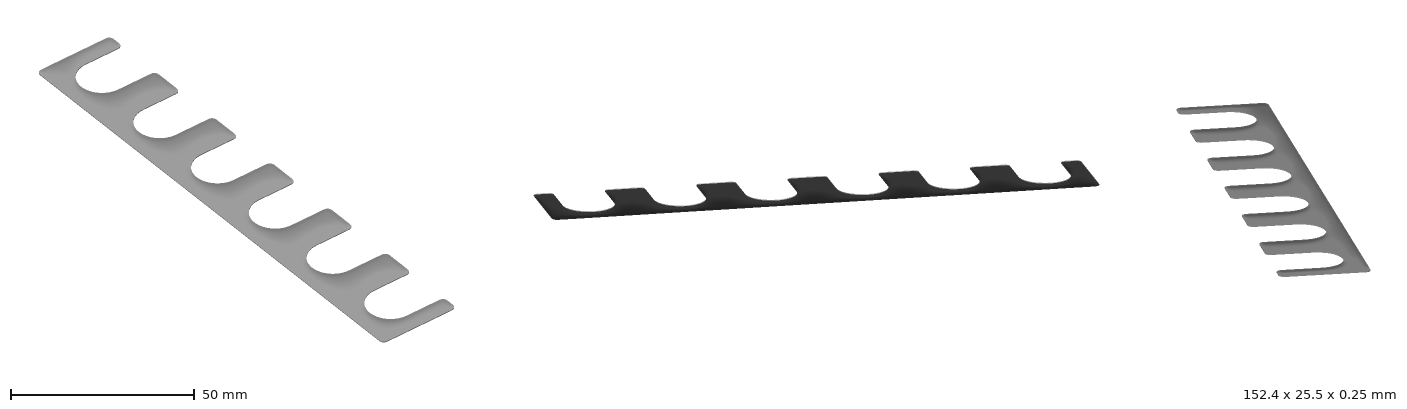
import cadquery as cq

length = 152.4
depth = 25.5
thickness = 0.25
slot_count = 6
slot_width = 14.3
slot_floor = 5.5
corner_radius = 1.5

pitch = length / slot_count
slot_radius = slot_width / 2
slot_center_y = slot_floor + slot_radius


def slot_cutter(center_x):
    """Round-bottomed slot that opens through the +Y edge."""
    return (
        cq.Workplane("XY")
        .moveTo(center_x - slot_radius, depth)
        .lineTo(center_x - slot_radius, slot_center_y)
        .threePointArc((center_x, slot_floor), (center_x + slot_radius, slot_center_y))
        .lineTo(center_x + slot_radius, depth)
        .close()
        .extrude(thickness)
    )


plate = cq.Workplane("XY").box(length, depth, thickness, centered=False)
for index in range(slot_count):
    plate = plate.cut(slot_cutter((index + 0.5) * pitch))

tooth_tips = plate.faces(">Y").edges("|Z")
back_corners = plate.faces("<Y").edges("|Z")
result = plate.newObject(tooth_tips.vals() + back_corners.vals()).fillet(corner_radius)